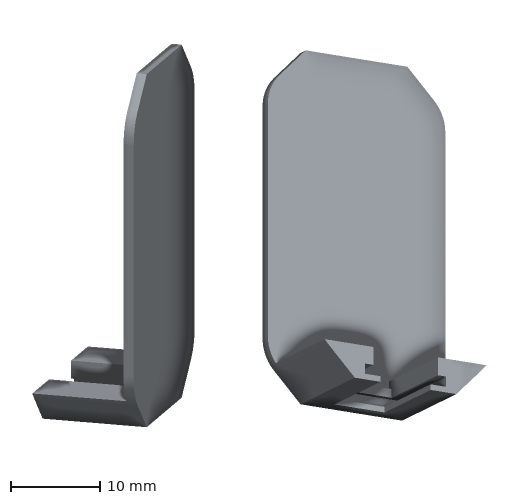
import cadquery as cq

height = 41.05
width = 22.95
plate_thickness = 1.2
flat_edge_width = 13.15
corner_radius = 4.93

depth = 12.25
foot_height = 3.95

slot_end_x = 10.4
upper_slot_width = 8.35
lip_slot_width = 6.5
groove_width = 10.47
lip_height = 0.65
groove_top = 1.85
end_bar_top = 2.87

plate_front_x = depth - plate_thickness
half_width = width / 2
half_flat = flat_edge_width / 2
corner_drop = half_width - half_flat


def slot_box(slot_width, bottom, top, end_x):
    """Box centred on Y, from the open -X end of the foot to end_x."""
    return (
        cq.Workplane("XY")
        .box(end_x, slot_width, top - bottom, centered=(False, True, False))
        .translate((0, 0, bottom))
    )


def panel(length):
    """Full octagonal outline with rounded side corners, extruded along X."""
    outline = [
        (-half_flat, 0),
        (half_flat, 0),
        (half_width, corner_drop),
        (half_width, height - corner_drop),
        (half_flat, height),
        (-half_flat, height),
        (-half_width, height - corner_drop),
        (-half_width, corner_drop),
    ]
    side_corners = cq.selectors.BoxSelector(
        (-0.4, -width, corner_drop / 2), (length + 0.4, width, height - corner_drop / 2)
    )
    return (
        cq.Workplane("YZ")
        .polyline(outline)
        .close()
        .extrude(length)
        .edges("|X")
        .edges(side_corners)
        .fillet(corner_radius)
    )


plate = panel(plate_thickness).translate((plate_front_x, 0, 0))

foot = panel(depth).intersect(slot_box(width, 0, foot_height, depth))

slot = (
    slot_box(lip_slot_width, 0, lip_height, slot_end_x)
    .union(slot_box(groove_width, lip_height, groove_top, plate_front_x))
    .union(slot_box(upper_slot_width, groove_top, end_bar_top, slot_end_x))
    .union(slot_box(upper_slot_width, end_bar_top, foot_height, plate_front_x))
)

result = plate.union(foot.cut(slot))